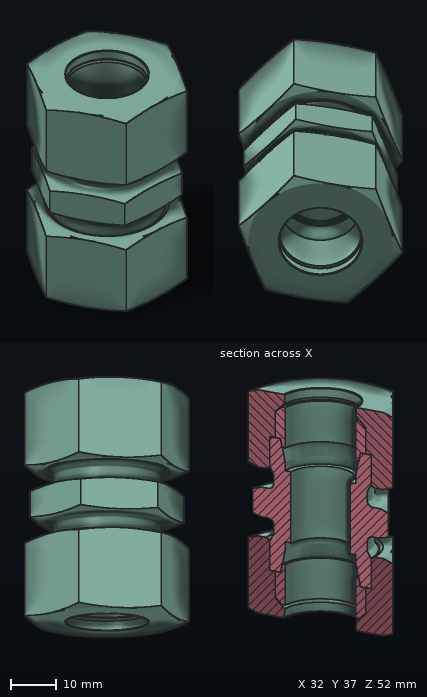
import cadquery as cq
import math

half_length = 26.0

nut_flats = 32.0
nut_height = 18.05
nut_chamfer_angle = 18.0
grip_flats = 30.0
grip_height = 7.0
grip_chamfer_angle = 15.0

flow_bore = 15.0
tube_diameter = 18.0
tube_stop_z = 8.3
neck_diameter = 24.0
thread_diameter = 26.0
neck_root_fillet = 1.3
neck_end_z = 6.6
run_out_fillet = 1.1
run_out_angle = 30.0
body_end_z = 15.6

flare_diameter = 20.3
seal_half_angle = 12.0
nose_length = 2.1

nut_mouth_diameter = 27.65
nut_mouth_angle = 30.0
nut_hole = 18.25
rim_chamfer = 0.15
nut_lip_depth = 2.2
ring_diameter = 23.0
ring_end_depth = 3.0

nut_mouth_z = half_length - nut_height
nut_mouth_radius = nut_mouth_diameter / 2
tube_radius = tube_diameter / 2
ring_radius = ring_diameter / 2
neck_radius = neck_diameter / 2
thread_radius = thread_diameter / 2
flare_radius = flare_diameter / 2
seal_slope = math.tan(math.radians(seal_half_angle))

lip_end_z = half_length - nut_lip_depth
shoulder_end_z = lip_end_z - (ring_radius - nut_hole / 2)
ring_end_z = half_length - ring_end_depth
ring_end_radius = nut_hole / 2 + (lip_end_z - ring_end_z)


def revolve_profile(profile):
    """Turn a closed (radius, z) outline around the Z axis."""
    return profile.close().revolve(360, (0, 0, 0), (0, 1, 0))


def chamfered_hexagon(flats, bottom_z, height, chamfer_angle):
    """Hexagonal prism, flats facing +X and -X, its corners turned off conically at both ends."""
    corner_radius = flats / math.sqrt(3)
    flat_radius = flats / 2
    drop = (corner_radius - flat_radius) * math.tan(math.radians(chamfer_angle))
    top_z = bottom_z + height
    prism = (
        cq.Workplane("XY")
        .workplane(offset=bottom_z)
        .polygon(6, 2 * corner_radius)
        .extrude(height)
        .rotate((0, 0, 0), (0, 0, 1), 30)
    )
    turned_blank = revolve_profile(
        cq.Workplane("XZ")
        .moveTo(0, bottom_z)
        .lineTo(flat_radius, bottom_z)
        .lineTo(corner_radius, bottom_z + drop)
        .lineTo(corner_radius, top_z - drop)
        .lineTo(flat_radius, top_z)
        .lineTo(0, top_z)
    )
    return prism.intersect(turned_blank)


def run_out_arc_point(turn):
    """Point (radius, z) on the fillet between neck and run-out cone, turned by an angle from the neck."""
    return (
        neck_radius + run_out_fillet * (1 - math.cos(turn)),
        neck_end_z + run_out_fillet * math.sin(turn),
    )


def make_spigot():
    """Upper threaded end of the body: filleted neck, conical run-out and thread cylinder."""
    grip_top_z = grip_height / 2
    arc_turn = math.radians(run_out_angle)
    arc_middle = run_out_arc_point(arc_turn / 2)
    arc_end = run_out_arc_point(arc_turn)
    run_out_end_z = arc_end[1] + (thread_radius - arc_end[0]) / math.tan(arc_turn)
    root_end_z = grip_top_z + neck_root_fillet
    root_middle = neck_root_fillet * (1 - math.sqrt(0.5))
    return revolve_profile(
        cq.Workplane("XZ")
        .moveTo(0, 0)
        .lineTo(neck_radius + neck_root_fillet, 0)
        .lineTo(neck_radius + neck_root_fillet, grip_top_z)
        .threePointArc((neck_radius + root_middle, grip_top_z + root_middle), (neck_radius, root_end_z))
        .lineTo(neck_radius, neck_end_z)
        .threePointArc(arc_middle, arc_end)
        .lineTo(thread_radius, run_out_end_z)
        .lineTo(thread_radius, body_end_z)
        .lineTo(0, body_end_z)
    )


def make_tube_socket():
    """Cutter for the upper tube socket and its flared sealing mouth."""
    flare_start_z = body_end_z - (flare_radius - tube_radius) / seal_slope
    return revolve_profile(
        cq.Workplane("XZ")
        .moveTo(0, tube_stop_z)
        .lineTo(tube_radius, tube_stop_z)
        .lineTo(tube_radius, flare_start_z)
        .lineTo(flare_radius, body_end_z)
        .lineTo(0, body_end_z)
    )


def make_body():
    """Union body: central hexagon, two threaded ends, flow bore and two tube sockets."""
    body = chamfered_hexagon(grip_flats, -grip_height / 2, grip_height, grip_chamfer_angle)
    spigot = make_spigot()
    socket = make_tube_socket()
    flow_cutter = cq.Workplane("XY").circle(flow_bore / 2).extrude(body_end_z, both=True)
    body = body.union(spigot).union(spigot.mirror("XY"))
    return body.cut(flow_cutter).cut(socket).cut(socket.mirror("XY"))


def make_nut():
    """Upper union nut, countersunk and bored for the thread, the ring and the tube."""
    blank = chamfered_hexagon(nut_flats, nut_mouth_z, nut_height, nut_chamfer_angle)
    hole_radius = nut_hole / 2
    countersink_depth = (nut_mouth_radius - thread_radius) * math.tan(math.radians(nut_mouth_angle))
    bore = revolve_profile(
        cq.Workplane("XZ")
        .moveTo(0, nut_mouth_z)
        .lineTo(nut_mouth_radius, nut_mouth_z)
        .lineTo(thread_radius, nut_mouth_z + countersink_depth)
        .lineTo(thread_radius, body_end_z)
        .lineTo(ring_radius, body_end_z)
        .lineTo(ring_radius, shoulder_end_z)
        .lineTo(hole_radius, lip_end_z)
        .lineTo(hole_radius, half_length - rim_chamfer)
        .lineTo(hole_radius + rim_chamfer, half_length)
        .lineTo(0, half_length)
    )
    return blank.cut(bore)


def make_ring():
    """Upper cutting ring: collar on the body end face, tapered nose in the body mouth."""
    nose_end_z = body_end_z - nose_length
    nose_end_radius = flare_radius - nose_length * seal_slope
    return revolve_profile(
        cq.Workplane("XZ")
        .moveTo(tube_radius, nose_end_z)
        .lineTo(nose_end_radius, nose_end_z)
        .lineTo(flare_radius, body_end_z)
        .lineTo(ring_radius, body_end_z)
        .lineTo(ring_radius, shoulder_end_z)
        .lineTo(ring_end_radius, ring_end_z)
        .lineTo(tube_radius, ring_end_z)
    )


def both_ends(upper):
    """The upper solid and its mirror image at the lower end."""
    return [end.val() for end in (upper, upper.mirror("XY"))]


body = make_body()
nuts = both_ends(make_nut())
rings = both_ends(make_ring())

result = cq.Compound.makeCompound([body.val(), *nuts, *rings])